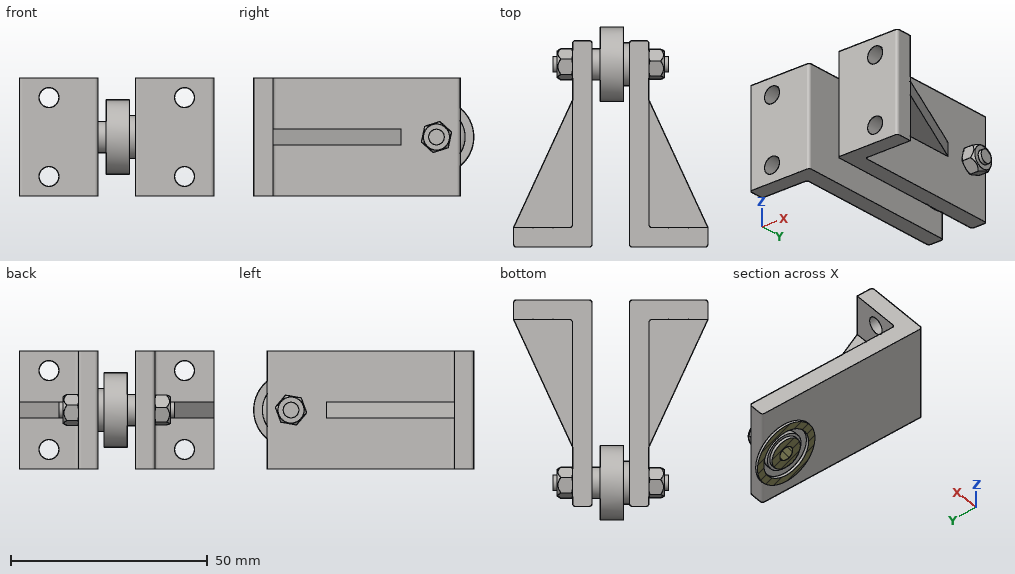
import cadquery as cq
import math


overall_width = 49.4
overall_length = 55.95
foot_length = 20.0
plate_thickness = 5.0
bracket_length = 52.5
bracket_height = 30.0
corner_radius = 0.8
gusset_reach = 37.4
gusset_thickness = 4.0
mount_hole_diameter = 5.0
mount_hole_inset = 7.5
mount_hole_spacing = 20.05

bearing_diameter = 19.05
bearing_width = 6.0
bearing_edge_radius = 0.3
race_outer_radius = 7.3
ball_pitch_radius = 6.0
ball_radius = 1.9

axle_diameter = 4.0
axle_end_projection = 1.0
collar_diameter = 8.0
collar_width = 2.0
washer_diameter = 11.0
nut_across_flats = 7.0
nut_height = 4.0
nut_tip_radius = 3.3
nut_tip_chamfer_slope = 1.4
nut_seat_radius = 3.6
nut_seat_chamfer_slope = 0.5
left_nut_turn = 10.0
right_nut_turn = 18.0

axle_y = overall_length - bearing_diameter / 2
foot_end_x = overall_width / 2
arm_inner_x = foot_end_x - foot_length
arm_outer_x = arm_inner_x + plate_thickness
bearing_left_x = -arm_inner_x + collar_width
bearing_right_x = bearing_left_x + bearing_width
nut_tip_x = arm_outer_x + nut_height
axle_end_x = nut_tip_x + axle_end_projection
axle_radius = axle_diameter / 2


def cylinder_on_axle(diameter, start_x, end_x):
    """Solid cylinder on the axle line between two X positions."""
    plane = cq.Workplane("YZ", origin=(start_x, axle_y, 0))
    return plane.circle(diameter / 2).extrude(end_x - start_x)


def revolve_on_axle(profile):
    """Revolve a closed XY profile, drawn with Y as radius, and move it onto the axle line."""
    return profile.revolve(360, (0, 0, 0), (1, 0, 0)).translate((0, axle_y, 0))


def make_right_bracket():
    """L-shaped bracket with a gusset, two mounting holes and an axle hole."""
    outline = (
        cq.Workplane("XY", origin=(0, 0, -bracket_height / 2))
        .moveTo(arm_inner_x, 0)
        .lineTo(foot_end_x, 0)
        .lineTo(foot_end_x, plate_thickness)
        .lineTo(arm_outer_x, plate_thickness)
        .lineTo(arm_outer_x, bracket_length)
        .lineTo(arm_inner_x, bracket_length)
        .close()
        .extrude(bracket_height)
    )
    sharp_edge = cq.selectors.NearestToPointSelector((foot_end_x, plate_thickness, 0))
    rounded_edges = cq.selectors.StringSyntaxSelector("|Z") - sharp_edge
    bracket = outline.edges(rounded_edges).fillet(corner_radius)

    gusset = (
        cq.Workplane("XY", origin=(0, 0, -gusset_thickness / 2))
        .moveTo(foot_end_x, plate_thickness)
        .lineTo(arm_outer_x, gusset_reach)
        .lineTo(arm_outer_x - corner_radius, gusset_reach)
        .lineTo(arm_outer_x - corner_radius, plate_thickness - corner_radius)
        .lineTo(foot_end_x, plate_thickness - corner_radius)
        .close()
        .extrude(gusset_thickness)
    )

    half_spacing = mount_hole_spacing / 2
    mount_holes = (
        cq.Workplane("XZ")
        .pushPoints([(foot_end_x - mount_hole_inset, side * half_spacing) for side in (-1, 1)])
        .circle(mount_hole_diameter / 2)
        .extrude(-plate_thickness)
    )
    axle_hole = cylinder_on_axle(axle_diameter, arm_inner_x, arm_outer_x)
    return bracket.union(gusset).cut(mount_holes).cut(axle_hole)


def make_bearing():
    """Ball bearing as one solid: two rings joined by a torus in place of the balls."""
    race_inner_radius = 2 * ball_pitch_radius - race_outer_radius
    middle_x = (bearing_left_x + bearing_right_x) / 2
    outer_ring = cylinder_on_axle(bearing_diameter, bearing_left_x, bearing_right_x)
    outer_ring = outer_ring.edges().fillet(bearing_edge_radius)
    outer_ring = outer_ring.cut(cylinder_on_axle(2 * race_outer_radius, bearing_left_x, bearing_right_x))
    inner_ring = cylinder_on_axle(2 * race_inner_radius, bearing_left_x, bearing_right_x)
    ball_torus = cq.Workplane(
        cq.Solid.makeTorus(
            ball_pitch_radius,
            ball_radius,
            cq.Vector(middle_x, axle_y, 0),
            cq.Vector(1, 0, 0),
        )
    )
    bore = cylinder_on_axle(axle_diameter, bearing_left_x, bearing_right_x)
    return outer_ring.union(ball_torus).union(inner_ring).cut(bore)


def make_axle():
    """Plain rod with a collar that fills the gap between the left bracket and the bearing."""
    rod = cylinder_on_axle(axle_diameter, -axle_end_x, axle_end_x)
    return rod.union(cylinder_on_axle(collar_diameter, -arm_inner_x, bearing_left_x))


def make_washer():
    """Ring that fills the gap between the bearing and the right bracket."""
    washer = cylinder_on_axle(washer_diameter, bearing_right_x, arm_inner_x)
    return washer.cut(cylinder_on_axle(axle_diameter, bearing_right_x, arm_inner_x))


def make_right_nut(turn):
    """Hexagon nut against the right bracket, chamfered on both ends."""
    corner_distance = nut_across_flats / 2 / math.cos(math.radians(30))
    hexagon = (
        cq.Workplane("YZ", origin=(arm_outer_x, 0, 0))
        .polygon(6, 2 * corner_distance)
        .extrude(nut_height)
        .rotate((0, 0, 0), (1, 0, 0), turn)
        .translate((0, axle_y, 0))
    )
    seat_drop = (corner_distance - nut_seat_radius) * nut_seat_chamfer_slope
    tip_drop = (corner_distance - nut_tip_radius) * nut_tip_chamfer_slope
    envelope = revolve_on_axle(
        cq.Workplane("XY")
        .moveTo(arm_outer_x, axle_radius)
        .lineTo(arm_outer_x, nut_seat_radius)
        .lineTo(arm_outer_x + seat_drop, corner_distance)
        .lineTo(nut_tip_x - tip_drop, corner_distance)
        .lineTo(nut_tip_x, nut_tip_radius)
        .lineTo(nut_tip_x, axle_radius)
        .close()
    )
    return hexagon.intersect(envelope)


right_bracket = make_right_bracket()
left_bracket = right_bracket.mirror("YZ")
bearing = make_bearing()
axle = make_axle()
washer = make_washer()
right_nut = make_right_nut(right_nut_turn)
left_nut = make_right_nut(left_nut_turn).mirror("YZ")

bodies = [right_bracket, left_bracket, bearing, axle, washer, right_nut, left_nut]
result = cq.Compound.makeCompound([body.solids().val() for body in bodies])